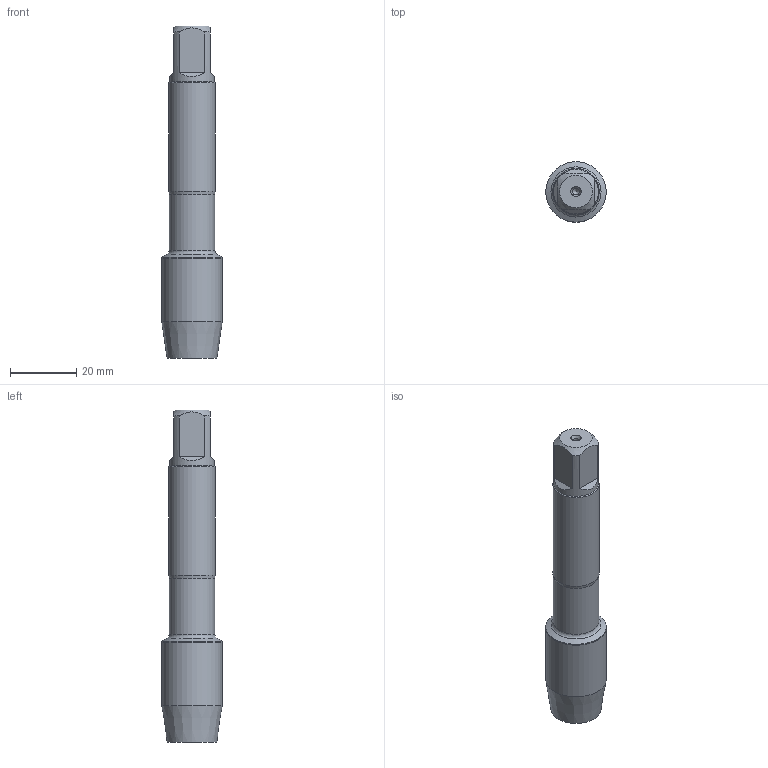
import cadquery as cq
import math

total_length = 100.0
thread_length = 30.0
lead_length = 10.95
drive_length = 14.0

thread_diameter = 18.21
tip_diameter = 15.05

neck_diameter = 13.7
shoulder_edge_height = 0.3
shoulder_slope_angle = 30.0
neck_fillet_radius = 1.4

shank_diameter = 14.0
shank_bottom_z = 50.2
shank_taper_height = 0.9
shank_top_z = 83.2

drive_round_diameter = 13.44
drive_across_flats = 11.0
drive_end_diameter = 9.84

centre_mouth_diameter = 3.1
centre_mouth_angle = 60.0
centre_hole_diameter = 2.0
centre_hole_depth = 3.0

thread_radius = thread_diameter / 2
neck_radius = neck_diameter / 2
shank_radius = shank_diameter / 2
drive_round_radius = drive_round_diameter / 2
drive_end_radius = drive_end_diameter / 2


def make_cutting_part():
    """Thread envelope: a tapered lead followed by a plain cylinder."""
    return (
        cq.Workplane("XZ")
        .lineTo(tip_diameter / 2, 0)
        .lineTo(thread_radius, lead_length)
        .lineTo(thread_radius, thread_length)
        .lineTo(0, thread_length)
        .close()
        .revolve(360, (0, 0), (0, 1))
    )


def make_turned_shank():
    """Shoulder, neck, shank and drive blank turned about Z, with 45 degree chamfers."""
    shank_chamfer = shank_radius - drive_round_radius
    drive_chamfer = drive_round_radius - drive_end_radius

    slope = math.radians(shoulder_slope_angle)
    turn = math.pi / 2 - slope
    fillet_centre_x = neck_radius + neck_fillet_radius
    foot_x = fillet_centre_x - neck_fillet_radius * math.cos(turn)
    shoulder_edge_z = thread_length + shoulder_edge_height
    foot_z = shoulder_edge_z + (thread_radius - foot_x) * math.tan(slope)
    fillet_top_z = foot_z + neck_fillet_radius * math.sin(turn)
    fillet_middle = (
        fillet_centre_x - neck_fillet_radius * math.cos(turn / 2),
        fillet_top_z - neck_fillet_radius * math.sin(turn / 2),
    )

    return (
        cq.Workplane("XZ")
        .moveTo(0, thread_length)
        .lineTo(thread_radius, thread_length)
        .lineTo(thread_radius, shoulder_edge_z)
        .lineTo(foot_x, foot_z)
        .threePointArc(fillet_middle, (neck_radius, fillet_top_z))
        .lineTo(neck_radius, shank_bottom_z - shank_taper_height)
        .lineTo(shank_radius, shank_bottom_z)
        .lineTo(shank_radius, shank_top_z - shank_chamfer)
        .lineTo(drive_round_radius, shank_top_z)
        .lineTo(drive_round_radius, total_length - drive_chamfer)
        .lineTo(drive_end_radius, total_length)
        .lineTo(0, total_length)
        .close()
        .revolve(360, (0, 0), (0, 1))
    )


def make_flat_cutter():
    """Material outside one drive flat, with a 45 degree run-out at its lower end."""
    flat_x = drive_across_flats / 2
    flat_bottom_z = total_length - drive_length
    outer_x = shank_radius
    return (
        cq.Workplane("XZ")
        .moveTo(flat_x, flat_bottom_z)
        .lineTo(outer_x, flat_bottom_z - (outer_x - flat_x))
        .lineTo(outer_x, total_length)
        .lineTo(flat_x, total_length)
        .close()
        .extrude(shank_radius, both=True)
    )


def make_centre_hole():
    """Drilled hole with a countersunk mouth and a 90 degree drill point."""
    mouth_radius = centre_mouth_diameter / 2
    hole_radius = centre_hole_diameter / 2
    mouth_depth = (mouth_radius - hole_radius) / math.tan(math.radians(centre_mouth_angle / 2))
    return (
        cq.Workplane("XZ")
        .moveTo(0, total_length)
        .lineTo(mouth_radius, total_length)
        .lineTo(hole_radius, total_length - mouth_depth)
        .lineTo(hole_radius, total_length - centre_hole_depth)
        .lineTo(0, total_length - centre_hole_depth - hole_radius)
        .close()
        .revolve(360, (0, 0), (0, 1))
    )


def make_shank():
    """Turned shank with four drive flats and a centre hole."""
    shank = make_turned_shank()
    for angle in range(0, 360, 90):
        shank = shank.cut(make_flat_cutter().rotate((0, 0, 0), (0, 0, 1), angle))
    return shank.cut(make_centre_hole())


cutting_part = make_cutting_part()
shank = make_shank()

result = cq.Compound.makeCompound([cutting_part.val(), shank.val()])